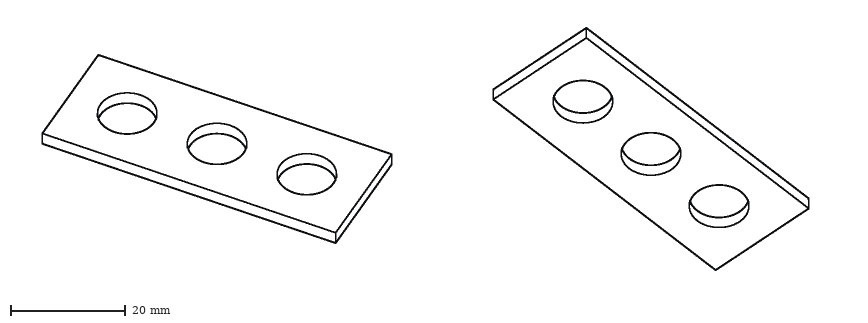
import cadquery as cq

length = 57.15
width = 22.25
thickness = 2.5

hole_diameter = 10.4
hole_count = 3
hole_pitch = 17.5

plate = cq.Workplane("XY").box(length, width, thickness)

result = (
    plate.faces(">Z")
    .workplane()
    .rarray(hole_pitch, 0.6, hole_count, 1)
    .hole(hole_diameter)
)